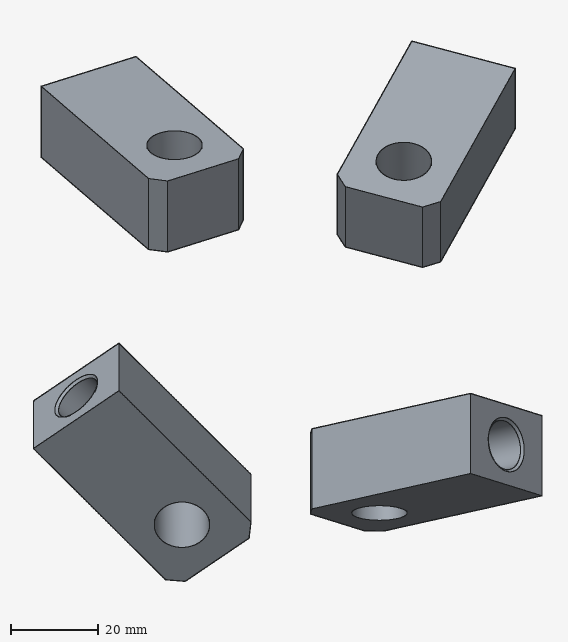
import cadquery as cq
import math

length = 50.8
width = 25.4
height = 19.05
corner_chamfer = 3.2

cross_hole_diameter = width / 2
cross_hole_x = length - cross_hole_diameter

bore_diameter = 11.5
mouth_diameter = 12.7
bore_depth = 25.4
drill_point_angle = 118.0


def make_block():
    """Block starting at X = 0, centred on Y and Z, with its far corners cut off."""
    block = cq.Workplane("XY").box(length, width, height, centered=(False, True, True))
    return block.edges("|Z and >X").chamfer(corner_chamfer)


def make_cross_hole():
    """Cylinder through the full height."""
    return (
        cq.Workplane("XY")
        .center(cross_hole_x, 0)
        .circle(cross_hole_diameter / 2)
        .extrude(height / 2, both=True)
    )


def make_end_bore():
    """Half profile of the drilled hole, revolved about the X axis."""
    bore_radius = bore_diameter / 2
    mouth_radius = mouth_diameter / 2
    mouth_depth = mouth_radius - bore_radius
    point_length = bore_radius / math.tan(math.radians(drill_point_angle / 2))
    return (
        cq.Workplane("XY")
        .moveTo(0, 0)
        .lineTo(0, mouth_radius)
        .lineTo(mouth_depth, bore_radius)
        .lineTo(bore_depth, bore_radius)
        .lineTo(bore_depth + point_length, 0)
        .close()
        .revolve(360, (0, 0, 0), (1, 0, 0))
    )


result = make_block().cut(make_cross_hole()).cut(make_end_bore())